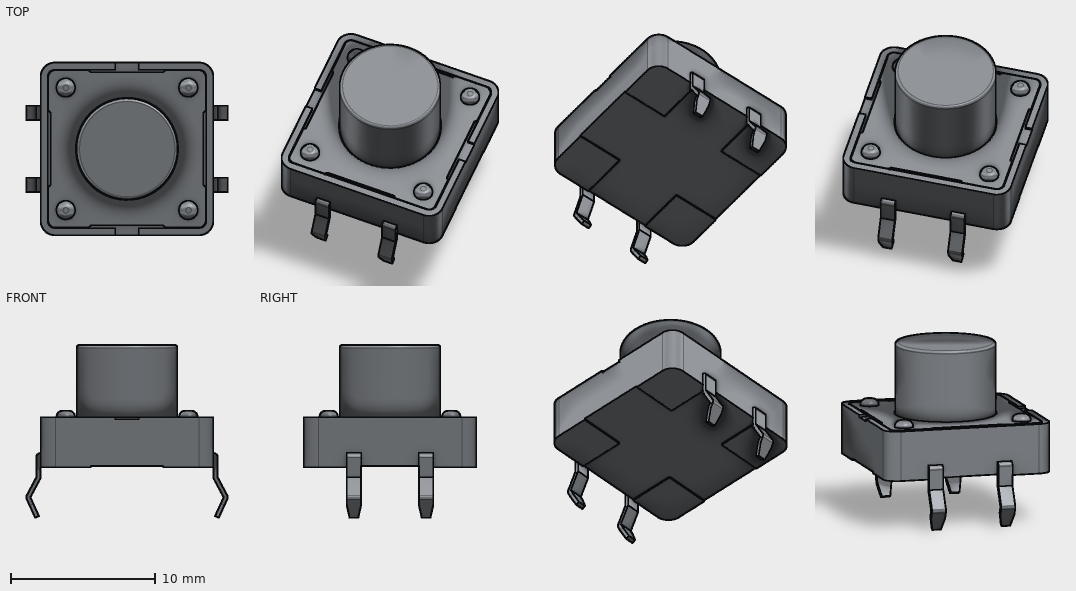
import cadquery as cq
import math


HOUSING_SIDE = 12.0
HOUSING_HEIGHT = 3.5
HOUSING_CORNER_RADIUS = 1.0
RIM_WIDTH = 0.5
RIM_NOTCH_LENGTH = 1.61
RECESS_SIDE = HOUSING_SIDE - 2 * RIM_WIDTH
RECESS_CORNER_RADIUS = HOUSING_CORNER_RADIUS - RIM_WIDTH
CHANNEL_WIDTH = 5.0
CHANNEL_DEPTH = 0.1

PLATE_THICKNESS = 0.15
PLATE_GAP = 0.04
PLATE_SIDE = RECESS_SIDE - 2 * PLATE_GAP
PLATE_CORNER_RADIUS = RECESS_CORNER_RADIUS - PLATE_GAP
PLATE_HOLE_DIAMETER = 7.1
EDGE_NOTCH_LENGTH = 5.0
EDGE_NOTCH_DEPTH = 0.15
FLOOR_Z = HOUSING_HEIGHT - PLATE_THICKNESS

RIVET_SPACING = 8.5
RIVET_POST_DIAMETER = 1.0
RIVET_HEAD_DIAMETER = 1.3
RIVET_HEAD_HEIGHT = 0.45

BUTTON_DIAMETER = 7.0
BUTTON_TOP_Z = 8.5
BUTTON_EDGE_RADIUS = 0.2

PIN_SPAN = 13.98
PIN_SPACING = 5.0
PIN_THICKNESS = 0.3
PIN_WIDTH = 1.0
PIN_TOP_Z = 1.0
PIN_BEND_Z = -0.75
PIN_ELBOW_Z = -2.07
PIN_TIP_Z = -3.5
PIN_TIP_WIDTH = 0.62
PIN_TAPER_LENGTH = 0.95
PIN_LOWER_ANGLE = 24.5


def square_block(side, bottom_z, height, corner_radius):
    block = cq.Workplane("XY").rect(side, side).extrude(height)
    return block.edges("|Z").fillet(corner_radius).translate((0, 0, bottom_z))


def floor_box(length_x, length_y, bottom_z, height):
    return cq.Workplane("XY", origin=(0, 0, bottom_z)).rect(length_x, length_y).extrude(height)


def upright_cylinder(diameter, bottom_z, top_z):
    return cq.Workplane("XY", origin=(0, 0, bottom_z)).circle(diameter / 2).extrude(top_z - bottom_z)


def rivet_places():
    half = RIVET_SPACING / 2
    return [(x, y, 0) for x in (-half, half) for y in (-half, half)]


def make_rivet():
    """Post through the plate, with a head whose edge is a quarter round as high as the head."""
    head_radius = RIVET_HEAD_DIAMETER / 2
    flat_radius = head_radius - RIVET_HEAD_HEIGHT
    head_top_z = HOUSING_HEIGHT + RIVET_HEAD_HEIGHT
    arc_reach = RIVET_HEAD_HEIGHT * math.sqrt(0.5)
    head = (
        cq.Workplane("XZ")
        .moveTo(0, HOUSING_HEIGHT)
        .lineTo(head_radius, HOUSING_HEIGHT)
        .threePointArc((flat_radius + arc_reach, HOUSING_HEIGHT + arc_reach), (flat_radius, head_top_z))
        .lineTo(0, head_top_z)
        .close()
        .revolve(360, (0, 0, 0), (0, 1, 0))
    )
    return upright_cylinder(RIVET_POST_DIAMETER, FLOOR_Z, HOUSING_HEIGHT).union(head)


def make_housing():
    housing = square_block(HOUSING_SIDE, 0, HOUSING_HEIGHT, HOUSING_CORNER_RADIUS)

    housing = housing.cut(square_block(RECESS_SIDE, FLOOR_Z, PLATE_THICKNESS, RECESS_CORNER_RADIUS))

    housing = housing.cut(floor_box(RIM_NOTCH_LENGTH, HOUSING_SIDE, FLOOR_Z, PLATE_THICKNESS))

    housing = housing.cut(floor_box(CHANNEL_WIDTH, HOUSING_SIDE, 0, CHANNEL_DEPTH))
    housing = housing.cut(floor_box(HOUSING_SIDE, CHANNEL_WIDTH, 0, CHANNEL_DEPTH))

    rivet = make_rivet()
    for place in rivet_places():
        housing = housing.union(rivet.translate(place))
    return housing


def make_edge_notch():
    """Cutter for the slant-ended notch in the middle of the plate's +Y edge."""
    edge_y = PLATE_SIDE / 2
    bottom_y = edge_y - EDGE_NOTCH_DEPTH
    bottom_x = EDGE_NOTCH_LENGTH / 2
    edge_x = bottom_x + EDGE_NOTCH_DEPTH
    outline = [(-edge_x, edge_y), (edge_x, edge_y), (bottom_x, bottom_y), (-bottom_x, bottom_y)]
    return cq.Workplane("XY", origin=(0, 0, FLOOR_Z)).polyline(outline).close().extrude(PLATE_THICKNESS)


def make_plate():
    plate = square_block(PLATE_SIDE, FLOOR_Z, PLATE_THICKNESS, PLATE_CORNER_RADIUS)
    plate = plate.cut(upright_cylinder(PLATE_HOLE_DIAMETER, FLOOR_Z, HOUSING_HEIGHT))

    edge_notch = make_edge_notch()
    for angle in (0, 90, 180, 270):
        plate = plate.cut(edge_notch.rotate((0, 0, 0), (0, 0, 1), angle))

    post_hole = upright_cylinder(RIVET_POST_DIAMETER, FLOOR_Z, HOUSING_HEIGHT)
    for place in rivet_places():
        plate = plate.cut(post_hole.translate(place))
    return plate


def make_button():
    """Button standing on the recess floor, with clearance in the plate hole."""
    button = upright_cylinder(BUTTON_DIAMETER, FLOOR_Z, BUTTON_TOP_Z)
    return button.faces(">Z").edges().fillet(BUTTON_EDGE_RADIUS)


def make_pin():
    """Pin against the +X wall, centred on Y = 0: straight, slanting out, then slanting back in."""
    wall_x = HOUSING_SIDE / 2
    elbow_x = PIN_SPAN / 2 - PIN_THICKNESS

    shoulder_x = wall_x + PIN_THICKNESS
    shoulder_z = PIN_TOP_Z - PIN_THICKNESS
    arc_reach = PIN_THICKNESS * math.sqrt(0.5)
    slant = math.atan2(elbow_x - wall_x, PIN_BEND_Z - PIN_ELBOW_Z)
    outer_bend_z = PIN_BEND_Z + PIN_THICKNESS * math.tan(slant / 2)

    elbow_start_x = elbow_x + PIN_THICKNESS * math.cos(slant)
    elbow_start_z = PIN_ELBOW_Z + PIN_THICKNESS * math.sin(slant)
    lean = math.radians(PIN_LOWER_ANGLE)
    elbow_end_x = elbow_x + PIN_THICKNESS * math.cos(lean)
    elbow_end_z = PIN_ELBOW_Z - PIN_THICKNESS * math.sin(lean)

    leg_drop = elbow_end_z - PIN_TIP_Z
    leg_run = leg_drop * math.tan(lean)
    outer_tip_x = elbow_end_x - leg_run

    pin = (
        cq.Workplane("XZ", origin=(0, PIN_WIDTH / 2, 0))
        .moveTo(wall_x, PIN_TOP_Z)
        .threePointArc((wall_x + arc_reach, shoulder_z + arc_reach), (shoulder_x, shoulder_z))
        .lineTo(shoulder_x, outer_bend_z)
        .lineTo(elbow_start_x, elbow_start_z)
        .threePointArc((PIN_SPAN / 2, PIN_ELBOW_Z), (elbow_end_x, elbow_end_z))
        .lineTo(outer_tip_x, PIN_TIP_Z)
        .lineTo(elbow_x - leg_run, PIN_ELBOW_Z - leg_drop)
        .lineTo(elbow_x, PIN_ELBOW_Z)
        .lineTo(wall_x, PIN_BEND_Z)
        .close()
        .extrude(PIN_WIDTH)
    )

    outer_face = cq.Plane(
        origin=(outer_tip_x, 0, PIN_TIP_Z),
        xDir=(0, -1, 0),
        normal=(-math.cos(lean), 0, math.sin(lean)),
    )
    half_width = PIN_WIDTH / 2
    half_tip = PIN_TIP_WIDTH / 2
    for side in (-1, 1):
        corner = [(side * half_width, 0), (side * half_tip, 0), (side * half_width, PIN_TAPER_LENGTH)]
        pin = pin.cut(cq.Workplane(outer_face).polyline(corner).close().extrude(PIN_THICKNESS))
    return pin


housing = make_housing()
plate = make_plate()
button = make_button()

pins = []
for angle in (0, 180):
    for y in (-PIN_SPACING / 2, PIN_SPACING / 2):
        pin = make_pin().rotate((0, 0, 0), (0, 0, 1), angle).translate((0, y, 0))
        pins.append(pin.val())

result = cq.Compound.makeCompound([housing.val(), plate.val(), button.val(), *pins])